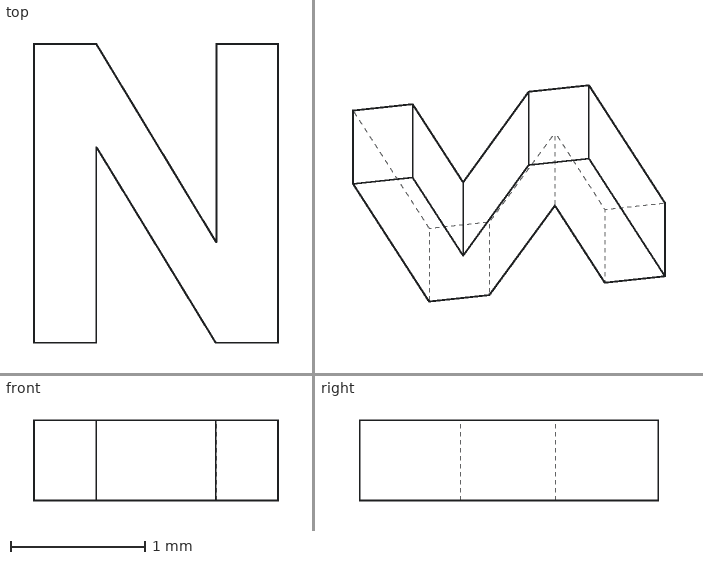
import cadquery as cq

width = 1.82
height = 2.23
thickness = 0.6
left_stem_width = 0.465
right_stem_width = 0.46
diagonal_foot_width = 0.465
lower_notch_depth = 1.46
upper_notch_depth = 1.48

left = -width / 2
right = width / 2
bottom = -height / 2
top = height / 2
left_stem_inner = left + left_stem_width
right_stem_inner = right - right_stem_width
diagonal_foot = right - diagonal_foot_width


def letter_block():
    """N-shaped prism: two upright stems joined by a diagonal bar."""
    outline = [
        (left, bottom),
        (left_stem_inner, bottom),
        (left_stem_inner, bottom + lower_notch_depth),
        (diagonal_foot, bottom),
        (right, bottom),
        (right, top),
        (right_stem_inner, top),
        (right_stem_inner, top - upper_notch_depth),
        (left_stem_inner, top),
        (left, top),
    ]
    return cq.Workplane("XY").polyline(outline).close().extrude(thickness)


result = letter_block()